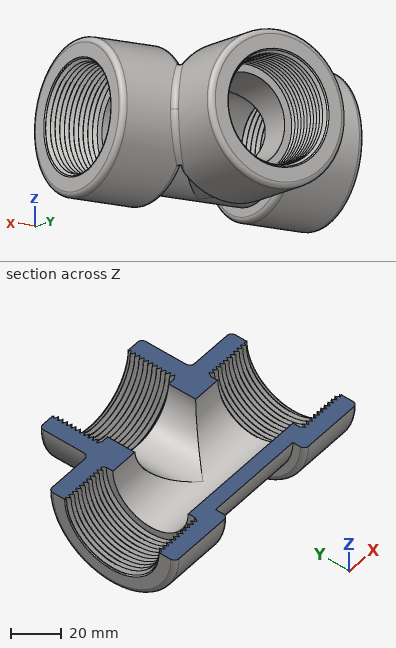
import cadquery as cq
import math

run_length = 114.3
half_run = run_length / 2
collar_diameter = 64.2
collar_radius = collar_diameter / 2
collar_length = 33.0
inner_rim = half_run - collar_length
collar_fillet = 2.3
body_diameter = 52.1
bore_diameter = 38.1

thread_pitch = 2.21
thread_count = 11
thread_length = thread_count * thread_pitch
thread_flank_angle = 60
thread_crest_radius = 22.4
thread_root_radius = thread_crest_radius + thread_pitch / 2 * math.tan(math.radians(thread_flank_angle))
mouth_radius = 23.9

branch_angle = -90
mouth_angles = (0, 180, branch_angle)


def turn(solid, angle):
    """Turn a solid about the Z axis through the tee centre."""
    return solid.rotate((0, 0, 0), (0, 0, 1), angle)


def at_mouths(solid):
    """Copies of a solid made at the -X mouth, joined over all three mouths."""
    joined = cq.Workplane("XY")
    for angle in mouth_angles:
        joined = joined.add(turn(solid, angle))
    return joined.combine()


def tee(diameter):
    """Run and branch cylinders of one diameter joined."""
    run = cq.Workplane("YZ").circle(diameter / 2).extrude(half_run, both=True)
    branch = cq.Workplane("XZ").circle(diameter / 2).extrude(-half_run)
    return run.union(branch)


def revolve_about_run(profile):
    """Solid of revolution about X from (x, radius) points."""
    return cq.Workplane("XY").polyline(profile).close().revolve(360, (0, 0, 0), (1, 0, 0))


def square_collar():
    """Collar at the -X mouth with square rims."""
    return cq.Workplane("YZ", origin=(-half_run, 0, 0)).circle(collar_radius).extrude(collar_length)


def upper_branch_rim_cutter():
    """Sliver that rounds the upper inner rim of the branch collar, between the run collars."""
    collar = square_collar()
    sliver = collar.cut(collar.faces(">X").edges().fillet(collar_fillet))
    upper_gap = cq.Workplane("XY").box(
        2 * inner_rim, run_length, collar_diameter, centered=(True, True, False)
    )
    return turn(sliver, branch_angle).intersect(upper_gap)


def collars():
    """Three collars with rounded joints and rims; the lower inner rim of the branch stays square."""
    joined = at_mouths(square_collar())
    run_rim_zone = cq.selectors.BoxSelector(
        (-inner_rim - collar_fillet, -collar_radius, -collar_radius),
        (inner_rim + collar_fillet, 0, collar_radius),
    )
    joints_and_run_rims = joined.edges("%ELLIPSE").add(joined.edges(run_rim_zone))
    rounded = joints_and_run_rims.fillet(collar_fillet)
    rounded = rounded.faces("<X or >X or >Y").edges().fillet(collar_fillet)
    return rounded.cut(upper_branch_rim_cutter())


def thread_cutter():
    """Threaded bore at the -X mouth: a crest at every pitch with a root between them."""
    profile = [(-half_run, 0), (-half_run, thread_crest_radius)]
    for ring in range(thread_count):
        ring_start = -half_run + ring * thread_pitch
        profile.append((ring_start + thread_pitch / 2, thread_root_radius))
        profile.append((ring_start + thread_pitch, thread_crest_radius))
    profile.append((-half_run + thread_length, 0))
    return revolve_about_run(profile)


def lead_in_cutter():
    """45 degree cone that opens the -X mouth down to the thread crests."""
    depth = mouth_radius - thread_crest_radius
    return revolve_about_run([
        (-half_run, 0),
        (-half_run, mouth_radius),
        (-half_run + depth, thread_crest_radius),
        (-half_run + depth, 0),
    ])


outside = collars().union(tee(body_diameter))
sockets = at_mouths(thread_cutter().union(lead_in_cutter()))

result = outside.cut(tee(bore_diameter)).cut(sockets)